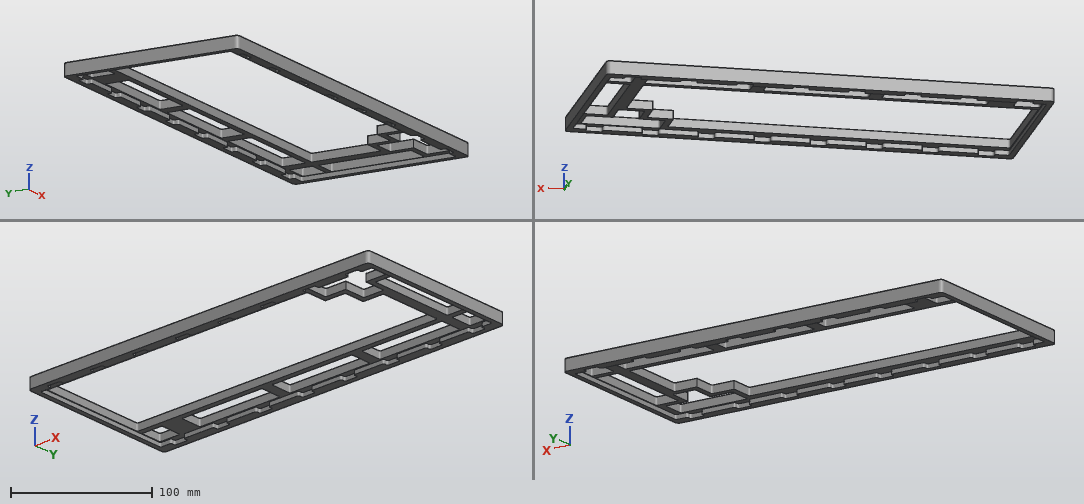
import cadquery as cq

LENGTH = 324.3
WIDTH = 143.7
HEIGHT = 10.0
CORNER_RADIUS = 3.0
TOP_CHAMFER = 0.5

PLATE_THICKNESS = 6.5
SIDE_SKIRT = 4.2
LONG_SKIRT = 8.5
CAVITY_HEIGHT = HEIGHT - PLATE_THICKNESS

POCKET_COUNT = 8
POCKET_PITCH = 40.5
POCKET_LENGTH = 12.0
POCKET_DEPTH = LONG_SKIRT - SIDE_SKIRT

GRID_COLUMNS = 16.5
SIDE_BORDER = 5.0
REAR_BORDER = 9.7
INNER_RADIUS = 1.25
KEY_UNIT = (LENGTH - 2 * SIDE_BORDER) / GRID_COLUMNS
GRID_LEFT = SIDE_BORDER - LENGTH / 2
GRID_REAR = WIDTH / 2 - REAR_BORDER

KEY_GAP = 0.25
GROUP_COLUMNS = (2, 6.5, 11)
GROUP_KEYS = 4
MAIN_COLUMNS = 15
MAIN_ROWS = 5
MAIN_REAR = 1 + KEY_GAP
MAIN_FRONT = MAIN_REAR + MAIN_ROWS
NAV_COLUMN = GRID_COLUMNS - 1
NAV_ROWS = 4


def opening(key_points, concave_corners):
    """Through cutter from (column, row) corners; only the listed corners are rounded."""
    corners = [(GRID_LEFT + column * KEY_UNIT, GRID_REAR - row * KEY_UNIT) for column, row in key_points]
    cutter = cq.Workplane("XY").polyline(corners).close().extrude(HEIGHT)
    for index in concave_corners:
        x, y = corners[index]
        nearest = cq.selectors.NearestToPointSelector((x, y, HEIGHT / 2))
        cutter = cutter.edges("|Z").edges(nearest).fillet(INNER_RADIUS)
    return cutter


def key_block(column, row, columns, rows):
    """Rectangular opening that spans a block of keys."""
    right = column + columns
    front = row + rows
    return opening([(column, row), (right, row), (right, front), (column, front)], range(4))


def main_block():
    """Large opening with two steps that make room for the arrow keys."""
    points = [
        (0, MAIN_REAR),
        (MAIN_COLUMNS, MAIN_REAR),
        (MAIN_COLUMNS, MAIN_FRONT - 2),
        (MAIN_COLUMNS - 1, MAIN_FRONT - 2),
        (MAIN_COLUMNS - 1, MAIN_FRONT - 1),
        (MAIN_COLUMNS - 2, MAIN_FRONT - 1),
        (MAIN_COLUMNS - 2, MAIN_FRONT),
        (0, MAIN_FRONT),
    ]
    return opening(points, (0, 1, 2, 4, 6, 7))


def arrow_block():
    """T-shaped opening for the arrow keys, one gap away from the main opening's steps."""
    left = MAIN_COLUMNS - 2 + KEY_GAP
    rear = MAIN_FRONT - 2 + KEY_GAP
    points = [
        (left + 1, rear),
        (left + 2, rear),
        (left + 2, rear + 1),
        (left + 3, rear + 1),
        (left + 3, rear + 2),
        (left, rear + 2),
        (left, rear + 1),
        (left + 1, rear + 1),
    ]
    return opening(points, (0, 1, 3, 4, 5, 6))


def underside_cavity():
    """Hollow below the plate, widened by the pockets in the front and rear skirts."""
    inner_length = LENGTH - 2 * SIDE_SKIRT
    inner_width = WIDTH - 2 * LONG_SKIRT
    cavity = cq.Workplane("XY").rect(inner_length, inner_width).extrude(CAVITY_HEIGHT)
    pockets = (
        cq.Workplane("XY")
        .rarray(POCKET_PITCH, 3.2, POCKET_COUNT, 1)
        .rect(POCKET_LENGTH, inner_width + 2 * POCKET_DEPTH)
        .extrude(CAVITY_HEIGHT)
    )
    return cavity.union(pockets).edges("|Z").fillet(INNER_RADIUS)


result = cq.Workplane("XY").box(LENGTH, WIDTH, HEIGHT, centered=(True, True, False))
result = result.edges("|Z").fillet(CORNER_RADIUS)
result = result.faces(">Z").edges().chamfer(TOP_CHAMFER)
result = result.cut(underside_cavity())

for column in (0, NAV_COLUMN):
    result = result.cut(key_block(column, 0, 1, 1))
for column in GROUP_COLUMNS:
    result = result.cut(key_block(column, 0, GROUP_KEYS, 1))

result = result.cut(key_block(NAV_COLUMN, MAIN_REAR, 1, NAV_ROWS))
result = result.cut(main_block())
result = result.cut(arrow_block())